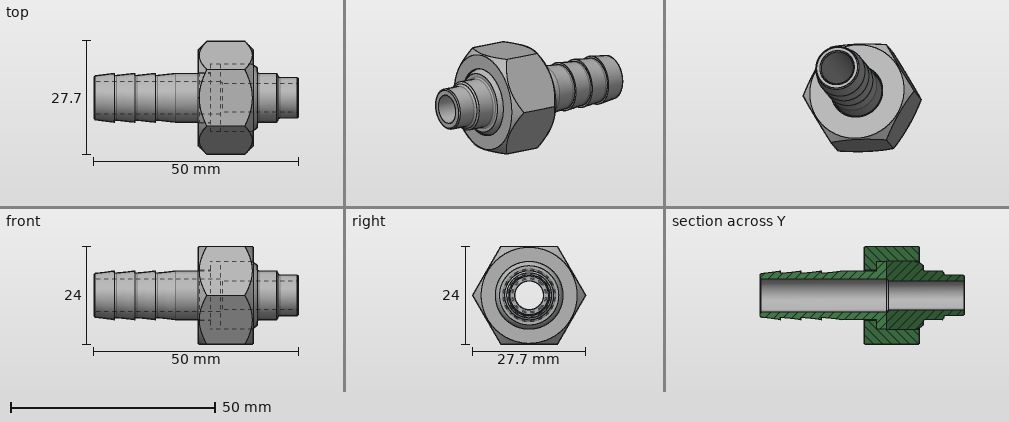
import cadquery as cq
import math

TOTAL_LENGTH = 50.0

TAIL_DIAMETER = 12.0
BARB_ROOT_DIAMETER = 11.0
TIP_DIAMETER = 10.8
BARB_PITCH = 5.0
BARB_COUNT = 4
BARB_LAND = 0.5
TAIL_BORE = 8.0
TAIL_EDGE_CHAMFER = 0.3
COLLAR_LENGTH = 2.5

NUT_START = 25.5
NUT_LENGTH = 13.5
ACROSS_FLATS = 24.0
NUT_FACE_DIAMETER = 23.5
NUT_CHAMFER_ANGLE = 45.0
NUT_THREAD_DIAMETER = 16.6
NUT_TAIL_HOLE = 12.3
NUT_HOLE_CHAMFER = 0.3
NUT_LIP = 3.0

STUB_BORE = 7.0
BORE_TAPER_LENGTH = 0.5
SHOULDER_PROJECTION = 1.0
SHOULDER_CURVE_LENGTH = 2.4
SHOULDER_CURVE_RADIUS = 3.0
SHOULDER_END_DIAMETER = 14.5
STUB_BODY_DIAMETER = TAIL_DIAMETER
STUB_BODY_END = 45.0
STUB_BODY_CHAMFER_LENGTH = 0.35
STUB_BODY_CHAMFER_DEPTH = 0.5
STUB_TIP_DIAMETER = 10.0
STUB_TIP_CHAMFER = 0.3
SHOULDER_FILLET = 0.4
TIP_FILLET = 0.5

NUT_END = NUT_START + NUT_LENGTH
COLLAR_START = NUT_START + NUT_LIP
TAIL_END = COLLAR_START + COLLAR_LENGTH


def revolve_about_x(profile):
    """Turn a closed (x, radius) profile into a round solid about the X axis."""
    return profile.close().revolve(360, (0, 0, 0), (1, 0, 0))


def make_hose_tail():
    tail_radius = TAIL_DIAMETER / 2
    root_radius = BARB_ROOT_DIAMETER / 2
    tip_radius = TIP_DIAMETER / 2
    bore_radius = TAIL_BORE / 2
    edge = TAIL_EDGE_CHAMFER

    profile = (
        cq.Workplane("XY")
        .moveTo(edge, bore_radius)
        .lineTo(0, bore_radius + edge)
        .lineTo(0, tip_radius - edge)
        .lineTo(edge, tip_radius)
    )
    for barb in range(1, BARB_COUNT + 1):
        crest = barb * BARB_PITCH
        profile = profile.lineTo(crest, tail_radius)
        if barb < BARB_COUNT:
            profile = profile.lineTo(crest, root_radius).lineTo(crest + BARB_LAND, root_radius)

    profile = (
        profile.lineTo(COLLAR_START, tail_radius)
        .lineTo(COLLAR_START, NUT_THREAD_DIAMETER / 2)
        .lineTo(TAIL_END, NUT_THREAD_DIAMETER / 2)
        .lineTo(TAIL_END, bore_radius)
    )
    return revolve_about_x(profile)


def make_nut_envelope():
    """Double cone that rounds off the hexagon corners at both nut faces."""
    face_radius = NUT_FACE_DIAMETER / 2
    slope = math.tan(math.radians(NUT_CHAMFER_ANGLE))
    middle_radius = face_radius + NUT_LENGTH / 2 * slope
    profile = (
        cq.Workplane("XY")
        .moveTo(NUT_START, 0)
        .lineTo(NUT_START, face_radius)
        .lineTo(NUT_START + NUT_LENGTH / 2, middle_radius)
        .lineTo(NUT_END, face_radius)
        .lineTo(NUT_END, 0)
    )
    return revolve_about_x(profile)


def make_nut_bore():
    """Stepped hole: clearance for the tail, then the threaded length."""
    hole_radius = NUT_TAIL_HOLE / 2
    thread_radius = NUT_THREAD_DIAMETER / 2
    profile = (
        cq.Workplane("XY")
        .moveTo(NUT_START, 0)
        .lineTo(NUT_START, hole_radius + NUT_HOLE_CHAMFER)
        .lineTo(NUT_START + NUT_HOLE_CHAMFER, hole_radius)
        .lineTo(COLLAR_START, hole_radius)
        .lineTo(COLLAR_START, thread_radius)
        .lineTo(NUT_END, thread_radius)
        .lineTo(NUT_END, 0)
    )
    return revolve_about_x(profile)


def make_union_nut():
    across_corners = ACROSS_FLATS / math.cos(math.radians(30))
    hexagon = (
        cq.Workplane("YZ", origin=(NUT_START, 0, 0))
        .polygon(6, across_corners)
        .extrude(NUT_LENGTH)
    )
    return hexagon.intersect(make_nut_envelope()).cut(make_nut_bore())


def make_stub():
    bore_radius = STUB_BORE / 2
    thread_radius = NUT_THREAD_DIAMETER / 2
    body_radius = STUB_BODY_DIAMETER / 2
    tip_radius = STUB_TIP_DIAMETER / 2
    shoulder_end = NUT_END + SHOULDER_PROJECTION

    profile = (
        cq.Workplane("XY")
        .moveTo(TAIL_END + BORE_TAPER_LENGTH, bore_radius)
        .lineTo(TAIL_END, TAIL_BORE / 2)
        .lineTo(TAIL_END, thread_radius)
        .lineTo(shoulder_end - SHOULDER_CURVE_LENGTH, thread_radius)
        .radiusArc((shoulder_end, SHOULDER_END_DIAMETER / 2), SHOULDER_CURVE_RADIUS)
        .lineTo(shoulder_end, body_radius + SHOULDER_FILLET)
        .radiusArc((shoulder_end + SHOULDER_FILLET, body_radius), -SHOULDER_FILLET)
        .lineTo(STUB_BODY_END - STUB_BODY_CHAMFER_LENGTH, body_radius)
        .lineTo(STUB_BODY_END, body_radius - STUB_BODY_CHAMFER_DEPTH)
        .radiusArc((STUB_BODY_END + TIP_FILLET, tip_radius), -TIP_FILLET)
        .lineTo(TOTAL_LENGTH - STUB_TIP_CHAMFER, tip_radius)
        .lineTo(TOTAL_LENGTH, tip_radius - STUB_TIP_CHAMFER)
        .lineTo(TOTAL_LENGTH, bore_radius)
    )
    return revolve_about_x(profile)


hose_tail = make_hose_tail()
union_nut = make_union_nut()
stub = make_stub()

result = cq.Compound.makeCompound([hose_tail.val(), union_nut.val(), stub.val()])